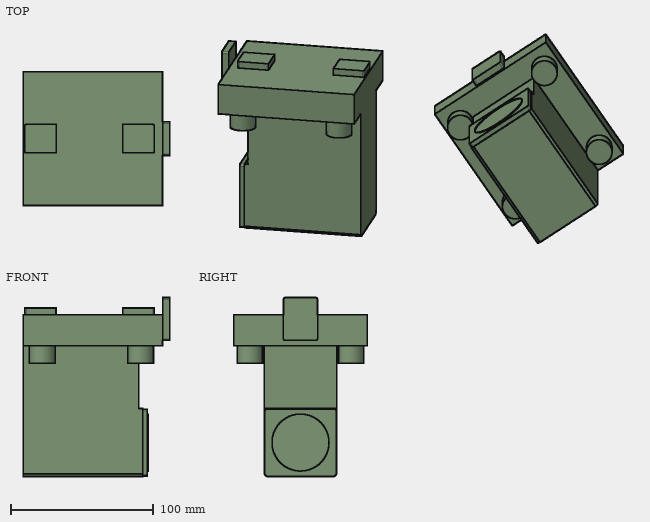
import cadquery as cq

total_height = 126.0
plate_top = 113.9
plate_bottom = 92.0

plate_length = 97.9
plate_width = 94.0

body_width = 51.0
body_length = 81.3
foot_length = 83.8
foot_height = 48.1
body_chamfer = 2.0

cover_thickness = 3.4
cover_margin = 0.5
cover_height = foot_height - 2 * cover_margin
cover_width = body_width - 2 * cover_margin
disc_diameter = 40.1
disc_thickness = 0.5

peg_diameter = 18.0
peg_height = 12.2
peg_first_x = 13.4
peg_spacing_x = 69.2
peg_spacing_y = 71.1

pad_width = 20.0
pad_height = 4.8
left_pad_start = 1.0
left_pad_length = 22.0
right_pad_start = 69.8
right_pad_length = 22.3

tab_thickness = 5.0
tab_width = 24.0
tab_height = 30.2

corner_radius = 1.3


def block(start_x, bottom_z, length, width, height):
    """Box from start_x and bottom_z, centred across Y."""
    return (
        cq.Workplane("XY")
        .box(length, width, height, centered=(False, True, False))
        .translate((start_x, 0, bottom_z))
    )


def make_body():
    body = block(0, 0, body_length, body_width, plate_bottom)
    foot = block(0, 0, foot_length, body_width, foot_height)
    return body.union(foot).faces("<Z").edges("|X").chamfer(body_chamfer)


def make_cover():
    cover = block(foot_length, cover_margin, cover_thickness, cover_width, cover_height)
    cover = cover.edges("|X").fillet(corner_radius)
    disc = (
        cq.Workplane("YZ", origin=(foot_length + cover_thickness, 0, foot_height / 2))
        .circle(disc_diameter / 2)
        .extrude(disc_thickness)
    )
    return cover.union(disc)


def make_pegs():
    return (
        cq.Workplane("XY", origin=(peg_first_x + peg_spacing_x / 2, 0, plate_bottom))
        .rarray(peg_spacing_x, peg_spacing_y, 2, 2)
        .circle(peg_diameter / 2)
        .extrude(-peg_height)
    )


def make_pad(start_x, length, outer_face):
    pad = block(start_x, plate_top, length, pad_width, pad_height)
    return pad.faces(outer_face).edges("|Z").fillet(corner_radius)


def make_tab():
    tab = block(plate_length, total_height - tab_height, tab_thickness, tab_width, tab_height)
    return tab.edges("|X").fillet(corner_radius)


plate = block(0, plate_bottom, plate_length, plate_width, plate_top - plate_bottom)
result = (
    plate.union(make_body())
    .union(make_cover())
    .union(make_pegs())
    .union(make_pad(left_pad_start, left_pad_length, "<X"))
    .union(make_pad(right_pad_start, right_pad_length, ">X"))
    .union(make_tab())
)